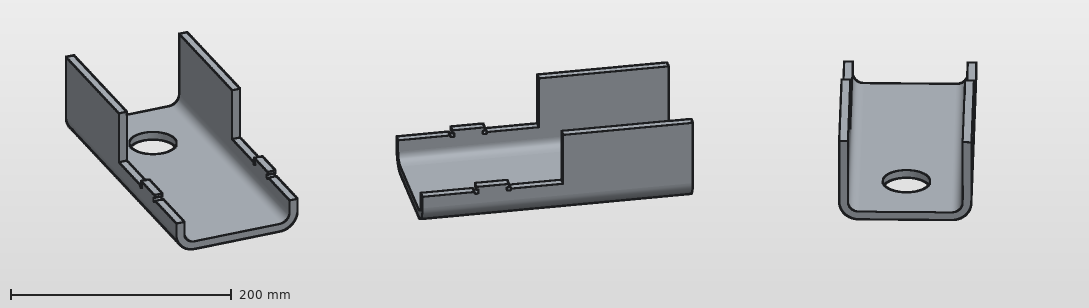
import cadquery as cq

length = 250.0
width = 120.0
height = 80.0
thickness = 8.0
inner_bend_radius = 10.0
outer_bend_radius = inner_bend_radius + thickness

tall_wall_length = 120.0
ledge_height = 30.0
tab_start = 170.0
tab_length = 30.0
tab_end = tab_start + tab_length
tab_height = 5.0
tab_top = ledge_height + tab_height
relief_radius = 2.0

hole_diameter = 43.0
hole_x = tall_wall_length / 2


def make_channel():
    """U-shaped bent plate running along X, with its floor on Z = 0."""
    outer = (
        cq.Workplane("XY")
        .box(length, width, height, centered=(False, True, False))
        .edges("|X and <Z")
        .fillet(outer_bend_radius)
    )
    inner = (
        cq.Workplane("XY")
        .workplane(offset=thickness)
        .box(length, width - 2 * thickness, height, centered=(False, True, False))
        .edges("|X and <Z")
        .fillet(inner_bend_radius)
    )
    return outer.cut(inner)


def make_wall_cutter():
    """Material above the ledges, shaped around the tabs and their corner reliefs."""
    above_ledge = (
        cq.Workplane("XZ")
        .moveTo(tall_wall_length, height)
        .lineTo(tall_wall_length, ledge_height)
        .lineTo(tab_start, ledge_height)
        .lineTo(tab_start, tab_top)
        .lineTo(tab_end, tab_top)
        .lineTo(tab_end, ledge_height)
        .lineTo(length, ledge_height)
        .lineTo(length, height)
        .close()
        .extrude(width / 2, both=True)
    )
    reliefs = (
        cq.Workplane("XZ")
        .pushPoints([(tab_start, ledge_height), (tab_end, ledge_height)])
        .circle(relief_radius)
        .extrude(width / 2, both=True)
    )
    return above_ledge.union(reliefs)


def make_floor_hole():
    """Cylinder that pierces the floor."""
    return cq.Workplane("XY").center(hole_x, 0).circle(hole_diameter / 2).extrude(thickness)


result = make_channel().cut(make_wall_cutter()).cut(make_floor_hole())